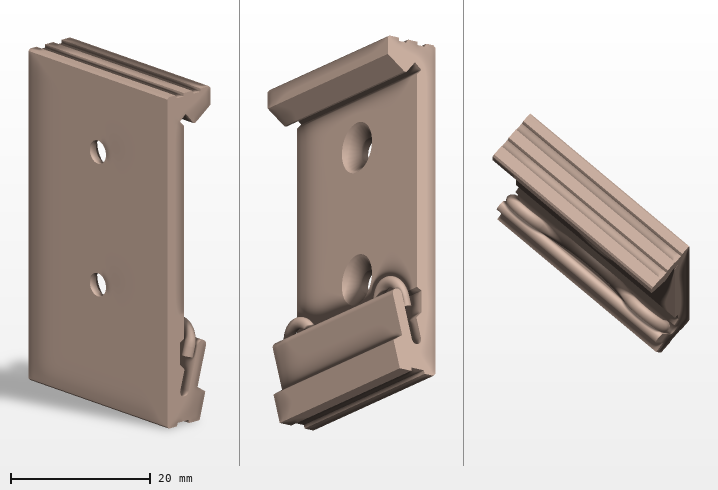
import cadquery as cq
import math

WIDTH = 30.0
HEIGHT = 50.0
DEPTH = 8.3
EDGE_CHAMFER = 0.3

PLATE = 3.2
HOOK_EDGE_Z = 47.15
HOOK_TIP_Z = 45.05
HOOK_TIP_OUTER_Y = 5.4
HOOK_TIP_INNER_Y = 5.05
HOOK_ROOT = (3.55, 46.8)
UNDERCUT = (2.45, 45.85)

RELIEF_Y = 2.4
RELIEF_TOP = 12.9
RELIEF_TOP_DROP = 0.45
RELIEF_FLOOR_Z = 9.25
RELIEF_BOTTOM = 8.25

TILT = 15.0
WIRE_DIAMETER = 1.65
SLOT_RADIUS = WIRE_DIAMETER / 2
SLOT_END_Y = 3.3
SLOT_END_Z = 5.05
LIP_THICKNESS = 1.6
LIP_LENGTH = 6.8
NOTCH = (5.8, 5.1)
HEEL = (7.3, 4.1)

GROOVE_DEPTH = 0.5
TOP_GROOVE_STARTS = (1.55, 4.75)
TOP_GROOVE_WIDTH = 1.6
TOP_GROOVE_BEVEL = 0.3
BOTTOM_GROOVE_START = 1.85
BOTTOM_GROOVE_WIDTH = 2.35
BOTTOM_GROOVE_BEVEL = 0.15

HOLE_DIAMETER = 3.5
HOLE_STRAIGHT = 1.2
COUNTERSINK_HALF_ANGLE = 45.0
HOLE_HEIGHTS = (18.1, 38.1)

SPRING_END = 4.95
SPRING_TOP = 9.4
TOP_BEND = 2.95
LEG_ANGLE = 55.0

SIN_TILT = math.sin(math.radians(TILT))
COS_TILT = math.cos(math.radians(TILT))


def slot_point(across, along):
    """(Y, Z) of a point given across and along the inclined slot."""
    y = SLOT_END_Y + across * COS_TILT + along * SIN_TILT
    z = SLOT_END_Z - across * SIN_TILT + along * COS_TILT
    return (y, z)


def extrude_across(sketch):
    """Extrude a YZ outline over the whole width, centred on X = 0."""
    return sketch.extrude(WIDTH / 2, both=True)


def groove(start, width, bevel, face_z, floor_z):
    """Groove along X with its wall nearest Y = 0 bevelled."""
    points = [
        (start, face_z),
        (start + bevel, floor_z),
        (start + width, floor_z),
        (start + width, face_z),
    ]
    return extrude_across(cq.Workplane("YZ").polyline(points).close())


def countersunk_hole(height):
    """Straight bore from the front face that opens into a cone at the plate's rear face."""
    bore = HOLE_DIAMETER / 2
    cone_depth = PLATE - HOLE_STRAIGHT
    mouth = bore + cone_depth * math.tan(math.radians(COUNTERSINK_HALF_ANGLE))
    profile = [(0, 0), (bore, 0), (bore, HOLE_STRAIGHT), (mouth, PLATE), (0, PLATE)]
    cutter = cq.Workplane("XY").polyline(profile).close().revolve(360, (0, 0), (0, 1))
    return cutter.translate((0, 0, height))


def make_foot():
    lip_outer = SLOT_RADIUS + LIP_THICKNESS
    lip_middle = SLOT_RADIUS + LIP_THICKNESS / 2
    mouth_along = (RELIEF_BOTTOM - SLOT_END_Z - SLOT_RADIUS * SIN_TILT) / COS_TILT
    heel_bottom_y = HEEL[0] - HEEL[1] * SIN_TILT / COS_TILT
    outline = (
        cq.Workplane("YZ")
        .moveTo(EDGE_CHAMFER, 0)
        .lineTo(0, EDGE_CHAMFER)
        .lineTo(0, HEIGHT - EDGE_CHAMFER)
        .lineTo(EDGE_CHAMFER, HEIGHT)
        .lineTo(DEPTH - EDGE_CHAMFER, HEIGHT)
        .lineTo(DEPTH, HEIGHT - EDGE_CHAMFER)
        .lineTo(DEPTH, HOOK_EDGE_Z)
        .lineTo(HOOK_TIP_OUTER_Y, HOOK_TIP_Z)
        .lineTo(HOOK_TIP_INNER_Y, HOOK_TIP_Z)
        .lineTo(*HOOK_ROOT)
        .lineTo(*UNDERCUT)
        .lineTo(PLATE, UNDERCUT[1] - (PLATE - UNDERCUT[0]))
        .lineTo(PLATE, RELIEF_TOP)
        .lineTo(RELIEF_Y, RELIEF_TOP - RELIEF_TOP_DROP)
        .lineTo(RELIEF_Y, RELIEF_FLOOR_Z)
        .lineTo(*slot_point(-SLOT_RADIUS, mouth_along))
        .lineTo(*slot_point(-SLOT_RADIUS, 0))
        .threePointArc(slot_point(0, -SLOT_RADIUS), slot_point(SLOT_RADIUS, 0))
        .lineTo(*slot_point(SLOT_RADIUS, LIP_LENGTH))
        .threePointArc(
            slot_point(lip_middle, LIP_LENGTH + LIP_THICKNESS / 2),
            slot_point(lip_outer, LIP_LENGTH),
        )
        .lineTo(*NOTCH)
        .lineTo(*HEEL)
        .lineTo(heel_bottom_y, 0)
        .close()
    )
    foot = extrude_across(outline)

    for start in TOP_GROOVE_STARTS:
        foot = foot.cut(
            groove(start, TOP_GROOVE_WIDTH, TOP_GROOVE_BEVEL, HEIGHT, HEIGHT - GROOVE_DEPTH)
        )
    foot = foot.cut(
        groove(BOTTOM_GROOVE_START, BOTTOM_GROOVE_WIDTH, BOTTOM_GROOVE_BEVEL, 0, GROOVE_DEPTH)
    )

    for height in HOLE_HEIGHTS:
        foot = foot.cut(countersunk_hole(height))
    return foot


def make_spring():
    """Round wire bow: a hooked end at each side, joined by two legs and a central bend."""
    end_x = WIDTH / 2 - WIRE_DIAMETER / 2
    top_centre_x = end_x - TOP_BEND
    top_centre_height = SPRING_TOP - TOP_BEND
    sin_leg = math.sin(math.radians(LEG_ANGLE))
    cos_leg = math.cos(math.radians(LEG_ANGLE))
    half_sin = math.sin(math.radians(LEG_ANGLE / 2))
    half_cos = math.cos(math.radians(LEG_ANGLE / 2))
    bottom_bend = (top_centre_x * sin_leg - top_centre_height * cos_leg - TOP_BEND) / (1 - cos_leg)

    leg_top_x = top_centre_x - TOP_BEND * sin_leg
    leg_top_height = top_centre_height + TOP_BEND * cos_leg
    leg_bottom_x = bottom_bend * sin_leg
    leg_bottom_height = bottom_bend * (1 - cos_leg)
    hook_x = top_centre_x + TOP_BEND * half_sin
    hook_height = top_centre_height + TOP_BEND * half_cos

    slot_plane = cq.Plane(
        origin=(0, SLOT_END_Y, SLOT_END_Z),
        xDir=(1, 0, 0),
        normal=(0, -COS_TILT, SIN_TILT),
    )
    path = (
        cq.Workplane(slot_plane)
        .moveTo(-end_x, SPRING_END)
        .lineTo(-end_x, top_centre_height)
        .threePointArc((-hook_x, hook_height), (-leg_top_x, leg_top_height))
        .lineTo(-leg_bottom_x, leg_bottom_height)
        .threePointArc((0, 0), (leg_bottom_x, leg_bottom_height))
        .lineTo(leg_top_x, leg_top_height)
        .threePointArc((hook_x, hook_height), (end_x, top_centre_height))
        .lineTo(end_x, SPRING_END)
    )
    end_plane = cq.Plane(
        origin=slot_plane.toWorldCoords((-end_x, SPRING_END, 0)),
        xDir=(1, 0, 0),
        normal=(0, SIN_TILT, COS_TILT),
    )
    return cq.Workplane(end_plane).circle(WIRE_DIAMETER / 2).sweep(path)


foot = make_foot()
spring = make_spring()

result = cq.Compound.makeCompound([foot.val(), spring.val()])